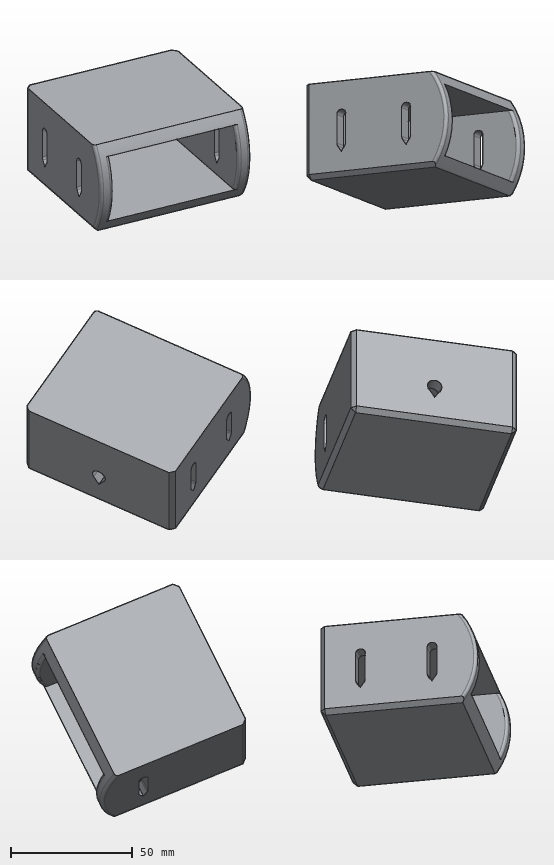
import cadquery as cq
import math

length = 66.0
width = 70.0
height = 40.0
mid_height = height / 2
straight_length = 59.6
wall = 5.95
roof = 5.0
chamfer = 2.0
front_fillet = 1.4

tip_ratio = 1.77
back_hole_radius = 3.0
back_hole_height = 17.0
slot_radius = 2.0
slot_half_spacing = 6.0
rear_slot_x = 17.0
front_slot_x = 47.05

overcut = 0.7


def bowed_block():
    """Solid block whose front bulges forward as one arc."""
    return (
        cq.Workplane("XZ", origin=(0, width / 2, 0))
        .lineTo(straight_length, 0)
        .threePointArc((length, mid_height), (straight_length, height))
        .lineTo(0, height)
        .close()
        .extrude(width)
    )


def cavity():
    """Space inside the walls, open at the front."""
    return cq.Workplane("XY").box(
        length, width - 2 * wall, height - 2 * roof, centered=(False, True, False)
    ).translate((wall, 0, roof))


def chamfered_envelope():
    """Box with chamfered base and back corners, reaching past the front."""
    return (
        cq.Workplane("XY")
        .box(length + wall, width, height, centered=(False, True, False))
        .edges("(|Z and <X) or (<Z and (|X or <X))")
        .chamfer(chamfer)
    )


def teardrop_slot(plane, radius, half_spacing, depth):
    """Upright slot with a round top and a pointed bottom, starting at the plane."""
    tip = -half_spacing - tip_ratio * radius
    tangent_angle = math.asin(1 / tip_ratio)
    tangent_x = radius * math.cos(tangent_angle)
    tangent_y = -half_spacing - radius * math.sin(tangent_angle)
    drop = (
        cq.Workplane(plane)
        .moveTo(0, tip)
        .lineTo(tangent_x, tangent_y)
        .lineTo(-tangent_x, tangent_y)
        .close()
        .extrude(depth)
    )
    for centre in {-half_spacing, half_spacing}:
        drop = drop.union(cq.Workplane(plane).center(0, centre).circle(radius).extrude(depth))
    if half_spacing > 0:
        drop = drop.union(cq.Workplane(plane).rect(2 * radius, 2 * half_spacing).extrude(depth))
    return drop


def side_slot(x, depth):
    """Slot entering the -Y side and running toward +Y."""
    plane = cq.Plane(origin=(x, depth - width / 2, mid_height), xDir=(1, 0, 0), normal=(0, -1, 0))
    return teardrop_slot(plane, slot_radius, slot_half_spacing, depth + overcut)


def back_hole():
    """Teardrop hole through the back wall."""
    depth = wall + overcut
    plane = cq.Plane(origin=(depth, 0, back_hole_height), xDir=(0, -1, 0), normal=(-1, 0, 0))
    return teardrop_slot(plane, back_hole_radius, 0, depth + overcut)


result = bowed_block().cut(cavity()).edges("%CIRCLE").fillet(front_fillet)
result = result.intersect(chamfered_envelope())
result = result.cut(back_hole())
result = result.cut(side_slot(rear_slot_x, wall + overcut))
result = result.cut(side_slot(front_slot_x, width + overcut))